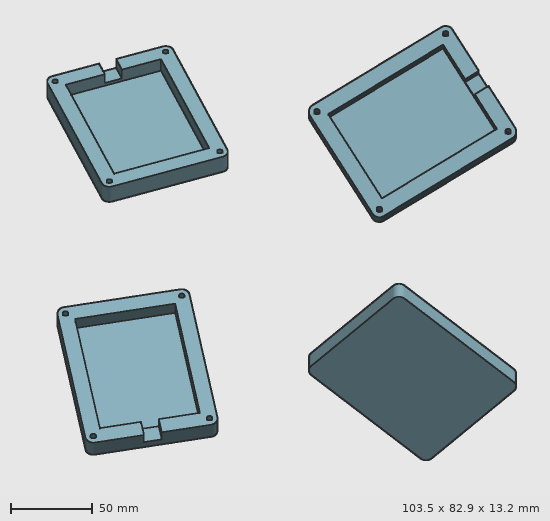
import cadquery as cq

length = 103.5
width = 82.9
height = 13.2
corner_radius = 5.0

wall = 10.0
pocket_depth = 10.0

notch_width = 11.2
notch_depth = 7.7

hole_diameter = 3.4
hole_depth = pocket_depth


def make_block():
    block = cq.Workplane("XY").box(length, width, height, centered=(True, True, False))
    return block.edges("|Z").fillet(corner_radius)


def cut_pocket(body):
    pocket_length = length - 2 * wall
    pocket_width = width - 2 * wall
    pocket = (
        cq.Workplane("XY")
        .box(pocket_length, pocket_width, pocket_depth, centered=(True, True, False))
        .translate((0, 0, height - pocket_depth))
    )
    return body.cut(pocket)


def cut_notch(body):
    notch = (
        cq.Workplane("XY")
        .box(wall, notch_width, notch_depth, centered=(False, True, False))
        .translate((-length / 2, 0, height - notch_depth))
    )
    return body.cut(notch)


def cut_corner_holes(body):
    spacing_x = length - 2 * corner_radius
    spacing_y = width - 2 * corner_radius
    holes = (
        cq.Workplane("XY")
        .rect(spacing_x, spacing_y, forConstruction=True)
        .vertices()
        .circle(hole_diameter / 2)
        .extrude(hole_depth)
        .translate((0, 0, height - hole_depth))
    )
    return body.cut(holes)


result = cut_corner_holes(cut_notch(cut_pocket(make_block())))